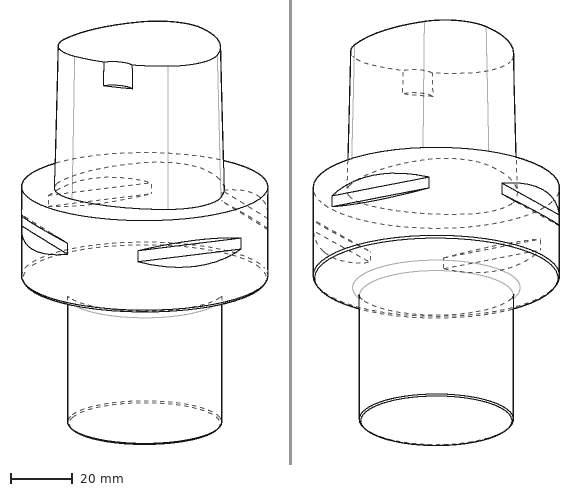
import cadquery as cq
import math

total_height = 128.0
collar_top = 80.0
collar_cone_top = 49.0

collar_radius = 80.0 / 2
shank_radius = 50.0 / 2
cone_angle = 15.0
shank_fillet = 3.0
shank_chamfer = 0.5
collar_edge_width = 0.5
collar_edge_height = 0.8

corner_radius = 17.9
corner_offset = 11.5
flank_distance = 25.6
taper_angle = math.degrees(math.atan(1 / 40))

slot_count = 4
slot_floor_distance = 35.6
slot_center_height = 68.0
slot_floor_height = 3.7
slot_flank_angle = 30.0

notch_radius = 7.0
notch_inner_distance = 22.1
notch_depth = 8.0


def polar(radius, degrees):
    angle = math.radians(degrees)
    return radius * math.cos(angle), radius * math.sin(angle)


def make_body():
    """Revolve the shank, conical shoulder and collar."""
    cone_rim = collar_radius - collar_edge_width
    tilt = math.radians(cone_angle)
    slope = math.tan(tilt)
    fillet_center_radius = shank_radius + shank_fillet
    arc_end_radius = fillet_center_radius - shank_fillet * math.sin(tilt)
    arc_end_height = collar_cone_top - (cone_rim - arc_end_radius) * slope
    fillet_center_height = arc_end_height - shank_fillet * math.cos(tilt)
    mid_angle = (180 + 90 + cone_angle) / 2
    mid_x, mid_z = polar(shank_fillet, mid_angle)
    profile = (
        cq.Workplane("XZ")
        .lineTo(shank_radius - shank_chamfer, 0)
        .lineTo(shank_radius, shank_chamfer)
        .lineTo(shank_radius, fillet_center_height)
        .threePointArc(
            (fillet_center_radius + mid_x, fillet_center_height + mid_z),
            (arc_end_radius, arc_end_height),
        )
        .lineTo(cone_rim, collar_cone_top)
        .lineTo(collar_radius, collar_cone_top + collar_edge_height)
        .lineTo(collar_radius, collar_top)
        .lineTo(0, collar_top)
        .close()
    )
    return profile.revolve(360, (0, 0, 0), (0, 1, 0))


def make_head():
    """Extrude the lobed outline upward with a slight inward taper."""
    reach = flank_distance - corner_radius
    flank_offset = (corner_offset**2 - reach**2) / (2 * reach - corner_offset)
    flank_radius = flank_distance + flank_offset
    corner_x, corner_y = polar(corner_offset, -30)
    joint_scale = flank_radius / (flank_radius - corner_radius)
    joint_x = corner_x * joint_scale
    joint_y = flank_offset + (corner_y - flank_offset) * joint_scale
    joint_radius = math.hypot(joint_x, joint_y)
    joint_half_angle = math.degrees(math.atan2(joint_x, -joint_y))

    outline = cq.Workplane("XY", origin=(0, 0, collar_top))
    outline = outline.moveTo(*polar(joint_radius, -90 - joint_half_angle))
    for flank_direction in (-90, 30, 150):
        corner_direction = flank_direction + 60
        next_flank = flank_direction + 120
        outline = outline.threePointArc(
            polar(flank_distance, flank_direction),
            polar(joint_radius, flank_direction + joint_half_angle),
        )
        outline = outline.threePointArc(
            polar(corner_offset + corner_radius, corner_direction),
            polar(joint_radius, next_flank - joint_half_angle),
        )
    return outline.close().extrude(total_height - collar_top, taper=taper_angle)


def make_slot():
    """Flat-floored slot cutter with flanks that open outward along +X."""
    depth = collar_radius - slot_floor_distance
    floor_half = slot_floor_height / 2
    mouth_half = floor_half + depth * math.tan(math.radians(slot_flank_angle))
    return (
        cq.Workplane("XZ")
        .moveTo(slot_floor_distance, slot_center_height - floor_half)
        .lineTo(collar_radius, slot_center_height - mouth_half)
        .lineTo(collar_radius, slot_center_height + mouth_half)
        .lineTo(slot_floor_distance, slot_center_height + floor_half)
        .close()
        .extrude(collar_radius, both=True)
    )


def make_notch():
    """Vertical round cutter that bites into the -Y flank at the top of the head."""
    return (
        cq.Workplane("XY", origin=(0, 0, total_height - notch_depth))
        .center(0, -notch_inner_distance - notch_radius)
        .circle(notch_radius)
        .extrude(notch_depth)
    )


result = make_body().union(make_head())
for index in range(slot_count):
    slot_direction = 45 + index * 360 / slot_count
    result = result.cut(make_slot().rotate((0, 0, 0), (0, 0, 1), slot_direction))
result = result.cut(make_notch())